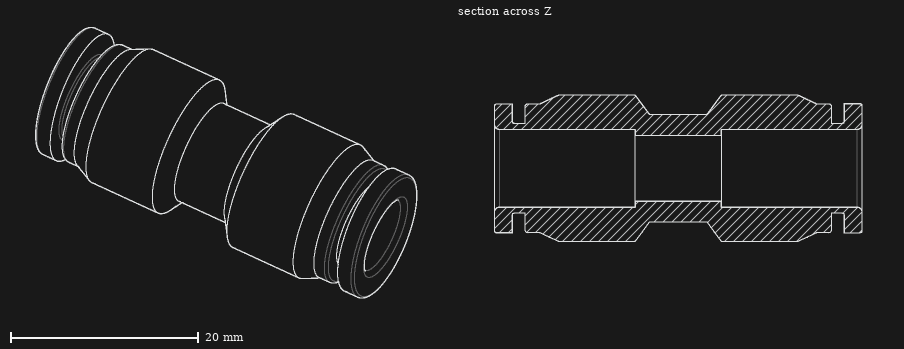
import cadquery as cq

length = 39.3
half_length = length / 2

bore_diameter = 7.0
socket_diameter = 8.3
sleeve_diameter = 9.63
waist_diameter = 11.5
collar_diameter = 13.8
body_diameter = 15.7

flange_thickness = 1.93
collar_start = 3.25
collar_end = 4.87
body_start = 6.88
body_end = 15.05
waist_start = 16.6
socket_depth = body_end

flange_height = 15.88
flange_width = 13.8
left_flange_angle = -4.6
right_flange_angle = 9.0

flange_fillet = 0.28
socket_mouth_fillet = 0.55
collar_fillet = 0.3
sleeve_root_fillet = 0.25


def cylinder(diameter, start, end):
    return cq.Workplane("YZ", origin=(start, 0, 0)).circle(diameter / 2).extrude(end - start)


def body():
    """Revolved waist with a tapered body and a rounded collar at each end."""
    collar_radius = collar_diameter / 2
    body_radius = body_diameter / 2
    waist_radius = waist_diameter / 2
    collar_face = half_length - collar_start
    shoulder = half_length - waist_start
    end_profile = (
        cq.Workplane("XY")
        .moveTo(shoulder, 0)
        .lineTo(shoulder, waist_radius)
        .lineTo(half_length - body_end, body_radius)
        .lineTo(half_length - body_start, body_radius)
        .lineTo(half_length - collar_end, collar_radius)
        .lineTo(collar_face - collar_fillet, collar_radius)
        .radiusArc((collar_face, collar_radius - collar_fillet), collar_fillet)
        .lineTo(collar_face, 0)
        .close()
    )
    end = end_profile.revolve(360, (0, 0, 0), (1, 0, 0))
    waist = cylinder(waist_diameter, -shoulder, shoulder)
    return waist.union(end).union(end.mirror("YZ"))


def release_sleeve(angle):
    """Sleeve and oval flange at the -X end, with the flange turned about X."""
    flange = (
        cq.Workplane("YZ", origin=(-half_length, 0, 0))
        .ellipse(flange_width / 2, flange_height / 2)
        .extrude(flange_thickness)
        .faces("<X")
        .edges()
        .fillet(flange_fillet)
        .rotate((0, 0, 0), (1, 0, 0), angle)
    )
    flange_back = -half_length + flange_thickness
    sleeve = cylinder(sleeve_diameter, -half_length + flange_thickness / 2, -half_length + collar_end)
    root_margin = 0.05
    root = cq.selectors.BoxSelector(
        (flange_back - root_margin, -sleeve_diameter, -sleeve_diameter),
        (flange_back + root_margin, sleeve_diameter, sleeve_diameter),
    )
    return flange.union(sleeve).edges(root).edges("%CIRCLE").fillet(sleeve_root_fillet)


def tube_socket():
    """Cutter for the -X tube socket, flared by a rounded mouth."""
    radius = socket_diameter / 2
    return (
        cq.Workplane("XY")
        .moveTo(-half_length, 0)
        .lineTo(-half_length, radius + socket_mouth_fillet)
        .radiusArc((-half_length + socket_mouth_fillet, radius), -socket_mouth_fillet)
        .lineTo(-half_length + socket_depth, radius)
        .lineTo(-half_length + socket_depth, 0)
        .close()
        .revolve(360, (0, 0, 0), (1, 0, 0))
    )


left_sleeve = release_sleeve(left_flange_angle)
right_sleeve = release_sleeve(right_flange_angle).mirror("YZ")
socket = tube_socket()

result = (
    body()
    .union(left_sleeve)
    .union(right_sleeve)
    .cut(socket)
    .cut(socket.mirror("YZ"))
    .cut(cylinder(bore_diameter, -half_length, half_length))
)